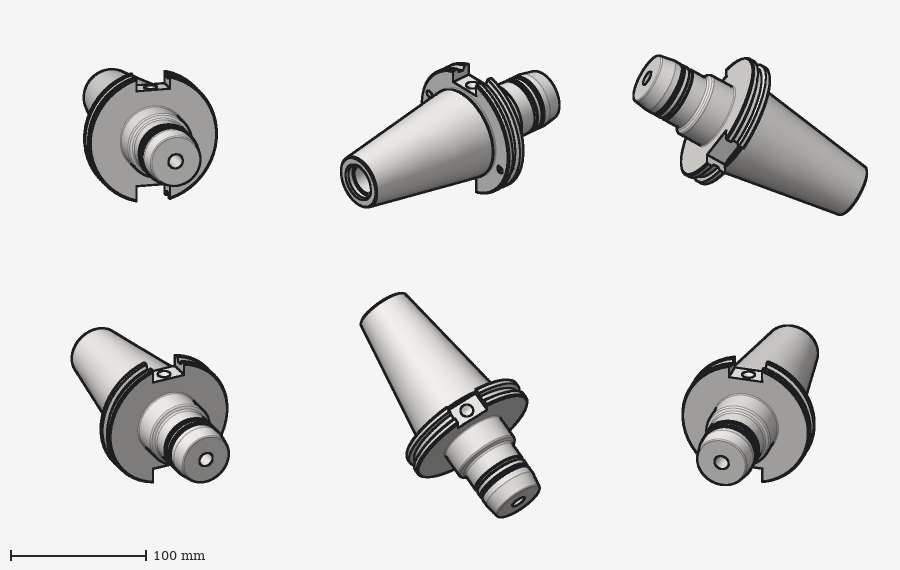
import cadquery as cq
import math

total_length = 182.1
gauge_x = 101.8
gauge_dia = 70.0
taper_ratio = 7 / 24
tail_chamfer = 0.82

relief_dia = 69.2
relief_start_x = 102.7
relief_fillet = 0.5

flange_dia = 98.2
flange_x = 104.9
flange_width = 15.7
flange_chamfer = 1.0
groove_dia = 91.5
groove_floor_width = 3.8
groove_wall_angle = 25.0

collar_dia = 49.5
collar_end_x = 139.0
collar_root_fillet = 0.7
nose_dia = 42.0
step_radius = 1.8
step_angle = 60.0
ring_groove_dia = 41.0
ring_grooves = ((155.3, 158.6), (162.5, 165.2))
tip_start_x = 170.6
tip_dia = 38.5
tip_fillet = 1.0

drill_half_angle = 59.0

countersink_dia = 28.2
countersink_depth = 1.8
pilot_dia = 26.2
pilot_depth = 6.0
bore_dia = 22.0
bore_depth = 72.8
cone_end_dia = 13.5
through_dia = 11.0
through_chamfer = 1.3

slot_width = 25.7
top_slot_floor_z = 37.7
bottom_slot_floor_z = -35.5

dimple_dia = 9.5

coolant_angles = (20.0, 200.0)
coolant_pitch_radius = 42.0
coolant_tilt = 32.0
coolant_entry_dia = 5.0
coolant_entry_depth = 2.4
coolant_dia = 3.3
cross_hole_dia = 4.2

flange_end_x = flange_x + flange_width
groove_x = flange_x + flange_width / 2
flange_radius = flange_dia / 2
tail_radius = (gauge_dia - gauge_x * taper_ratio) / 2


def body():
    """Solid of revolution with the whole outer outline."""
    groove_half_floor = groove_floor_width / 2
    groove_depth = (flange_dia - groove_dia) / 2
    groove_half_top = groove_half_floor + groove_depth * math.tan(math.radians(groove_wall_angle))
    collar_radius = collar_dia / 2
    nose_radius = nose_dia / 2
    tip_radius = tip_dia / 2

    flank_angle = math.radians(step_angle)
    arc_dx = step_radius * math.sin(flank_angle)
    arc_dr = step_radius * (1 - math.cos(flank_angle))
    mid_dx = step_radius * math.sin(flank_angle / 2)
    mid_dr = step_radius * (1 - math.cos(flank_angle / 2))
    flank_dx = (collar_radius - nose_radius - 2 * arc_dr) / math.tan(flank_angle)
    step_end_x = collar_end_x + 2 * arc_dx + flank_dx

    outline = (
        cq.Workplane("XY")
        .moveTo(0, 0)
        .lineTo(0, tail_radius - tail_chamfer)
        .lineTo(tail_chamfer, tail_radius + tail_chamfer * taper_ratio / 2)
        .lineTo(gauge_x, gauge_dia / 2)
        .lineTo(relief_start_x, relief_dia / 2)
        .lineTo(flange_x - relief_fillet, relief_dia / 2)
        .radiusArc((flange_x, relief_dia / 2 + relief_fillet), -relief_fillet)
        .lineTo(flange_x, flange_radius - flange_chamfer)
        .lineTo(flange_x + flange_chamfer, flange_radius)
        .lineTo(groove_x - groove_half_top, flange_radius)
        .lineTo(groove_x - groove_half_floor, groove_dia / 2)
        .lineTo(groove_x + groove_half_floor, groove_dia / 2)
        .lineTo(groove_x + groove_half_top, flange_radius)
        .lineTo(flange_end_x - flange_chamfer, flange_radius)
        .lineTo(flange_end_x, flange_radius - flange_chamfer)
        .lineTo(flange_end_x, collar_radius + collar_root_fillet)
        .radiusArc((flange_end_x + collar_root_fillet, collar_radius), -collar_root_fillet)
        .lineTo(collar_end_x, collar_radius)
        .threePointArc(
            (collar_end_x + mid_dx, collar_radius - mid_dr),
            (collar_end_x + arc_dx, collar_radius - arc_dr),
        )
        .lineTo(step_end_x - arc_dx, nose_radius + arc_dr)
        .threePointArc((step_end_x - mid_dx, nose_radius + mid_dr), (step_end_x, nose_radius))
    )
    ring_depth = (nose_dia - ring_groove_dia) / 2
    for start_x, end_x in ring_grooves:
        outline = (
            outline.lineTo(start_x, nose_radius)
            .lineTo(start_x + ring_depth, ring_groove_dia / 2)
            .lineTo(end_x - ring_depth, ring_groove_dia / 2)
            .lineTo(end_x, nose_radius)
        )
    outline = (
        outline.lineTo(tip_start_x, nose_radius)
        .lineTo(total_length - tip_fillet, tip_radius)
        .radiusArc((total_length, tip_radius - tip_fillet), tip_fillet)
        .lineTo(total_length, 0)
        .close()
    )
    return outline.revolve(360, (0, 0, 0), (1, 0, 0))


def axial_bore():
    cone_length = (bore_dia - cone_end_dia) / 2 / math.tan(math.radians(drill_half_angle))
    cone_end_x = bore_depth + cone_length
    return (
        cq.Workplane("XY")
        .moveTo(0, 0)
        .lineTo(0, countersink_dia / 2)
        .lineTo(countersink_depth, pilot_dia / 2)
        .lineTo(pilot_depth, pilot_dia / 2)
        .lineTo(pilot_depth, bore_dia / 2)
        .lineTo(bore_depth, bore_dia / 2)
        .lineTo(cone_end_x, cone_end_dia / 2)
        .lineTo(cone_end_x + through_chamfer, through_dia / 2)
        .lineTo(total_length, through_dia / 2)
        .lineTo(total_length, 0)
        .close()
        .revolve(360, (0, 0, 0), (1, 0, 0))
    )


def drive_slot(floor_z, direction):
    height = flange_radius
    return cq.Workplane("XY").box(flange_width, slot_width, height).translate(
        (groove_x, 0, floor_z + direction * height / 2)
    )


def drill_point(diameter, base, axis):
    height = diameter / 2 / math.tan(math.radians(drill_half_angle))
    return cq.Workplane(cq.Solid.makeCone(diameter / 2, 0, height, base, axis))


def drill(diameter, entry, axis, depth):
    """Cylinder down to 'depth', begun one diameter outside its entry point."""
    start = entry - axis * diameter
    return cq.Workplane(cq.Solid.makeCylinder(diameter / 2, depth + diameter, start, axis))


def coolant_passage(angle):
    """Inclined stepped hole in the flange face and the radial hole that meets it under the groove."""
    tilt = math.radians(coolant_tilt)
    radial = cq.Vector(0, math.cos(math.radians(angle)), math.sin(math.radians(angle)))
    inward = radial * -1
    inclined = cq.Vector(math.cos(tilt), 0, 0) + inward * math.sin(tilt)
    face_entry = cq.Vector(flange_x, 0, 0) + radial * coolant_pitch_radius
    groove_entry = cq.Vector(groove_x, 0, 0) + radial * (groove_dia / 2)

    axial_run = groove_x - flange_x
    inclined_depth = axial_run / math.cos(tilt)
    meeting_radius = coolant_pitch_radius - axial_run * math.tan(tilt)

    return (
        drill(coolant_entry_dia, face_entry, inclined, coolant_entry_depth)
        .union(drill(coolant_dia, face_entry, inclined, inclined_depth))
        .union(drill(cross_hole_dia, groove_entry, inward, groove_dia / 2 - meeting_radius))
    )


result = body().cut(axial_bore())
result = result.cut(drive_slot(top_slot_floor_z, 1))
result = result.cut(drive_slot(bottom_slot_floor_z, -1))
result = result.cut(drill_point(dimple_dia, cq.Vector(groove_x, 0, top_slot_floor_z), cq.Vector(0, 0, -1)))
for passage_angle in coolant_angles:
    result = result.cut(coolant_passage(passage_angle))